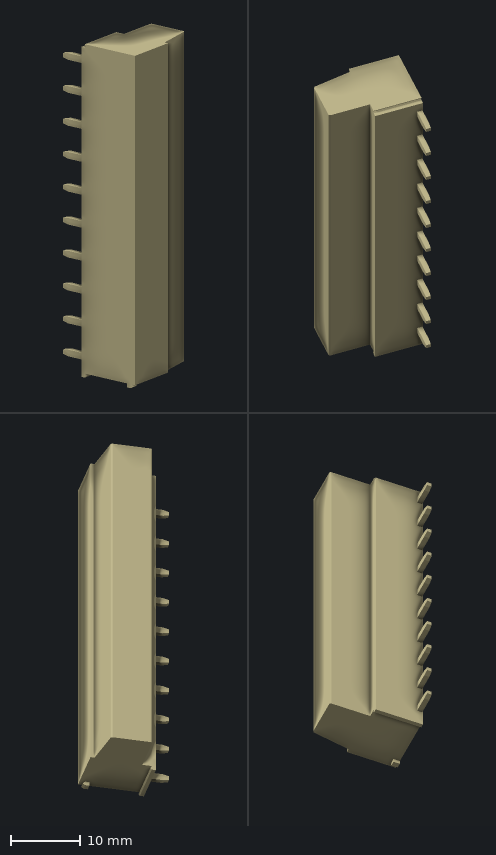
import cadquery as cq

total_length = 50.6
pole_count = 10
hook_height = 0.6
pin_length = 3.55
body_width = 9.8
body_depth = 13.8

step_width = 2.0
left_shelf_depth = 7.45
right_shelf_depth = 7.75
right_shelf_width = 0.6
back_right_inset = 1.6
back_corner_radius = 0.3

hook_neck = 0.6
hook_reach = 0.8
barb_height = 0.25
groove_depth = 0.5
groove_notch_height = 0.15
groove_lip = 0.1
latch_start = 8.35
latch_neck = 0.65
latch_reach = 1.0
latch_depth = 1.0

pin_thickness = 1.0
pin_depth = 0.8
pin_offset = 0.1
tip_length = 0.95
tip_thickness = 0.6
tip_depth = 0.7

body_bottom = hook_height
body_length = total_length - hook_height
pitch = body_length / pole_count


def make_housing():
    """Stepped housing with a sloping back, extruded along the row of poles."""
    housing = (
        cq.Workplane("XY", origin=(0, 0, body_bottom))
        .polyline([
            (0, 0),
            (body_width, 0),
            (body_width, right_shelf_depth),
            (body_width - right_shelf_width, right_shelf_depth),
            (body_width - back_right_inset, body_depth),
            (step_width, body_depth),
            (step_width, left_shelf_depth),
            (0, left_shelf_depth),
        ])
        .close()
        .extrude(body_length)
    )
    return housing.faces(">Y").edges("|Z").fillet(back_corner_radius)


def extrude_along_y(points, depth):
    """Extrude an X-Z outline from the front face toward +Y."""
    return cq.Workplane("XZ").polyline(points).close().extrude(-depth)


def make_groove():
    """Undercut groove along the pin-side edge of the top end."""
    floor = total_length - groove_depth
    return extrude_along_y([
        (0, floor),
        (hook_neck, floor),
        (hook_reach, floor + groove_notch_height),
        (hook_neck, total_length - groove_lip),
        (hook_neck, total_length),
        (0, total_length),
    ], left_shelf_depth)


def make_hook(start, neck, reach, depth):
    """Hook under the bottom end: straight on the -X side, barbed toward +X."""
    return extrude_along_y([
        (start, 0),
        (start + neck, 0),
        (start + reach, barb_height),
        (start + neck, body_bottom),
        (start, body_bottom),
    ], depth)


def make_pin(center_z):
    """Rectangular pin pointing toward -X, ending in a tapered tip."""
    shank_length = pin_length - tip_length
    shank = (
        cq.Workplane("YZ", origin=(0, pin_offset + pin_depth / 2, center_z))
        .rect(pin_depth, pin_thickness)
        .extrude(-shank_length)
    )
    tip = (
        cq.Workplane("YZ", origin=(-pin_length, pin_offset + pin_depth / 2, center_z))
        .rect(tip_depth, tip_thickness)
        .workplane(offset=tip_length)
        .rect(pin_depth, pin_thickness)
        .loft(ruled=True)
    )
    return shank.union(tip)


result = make_housing().cut(make_groove())
result = result.union(make_hook(0, hook_neck, hook_reach, left_shelf_depth))
result = result.union(make_hook(latch_start, latch_neck, latch_reach, latch_depth))
for pole in range(pole_count):
    result = result.union(make_pin(body_bottom + (pole + 0.5) * pitch))